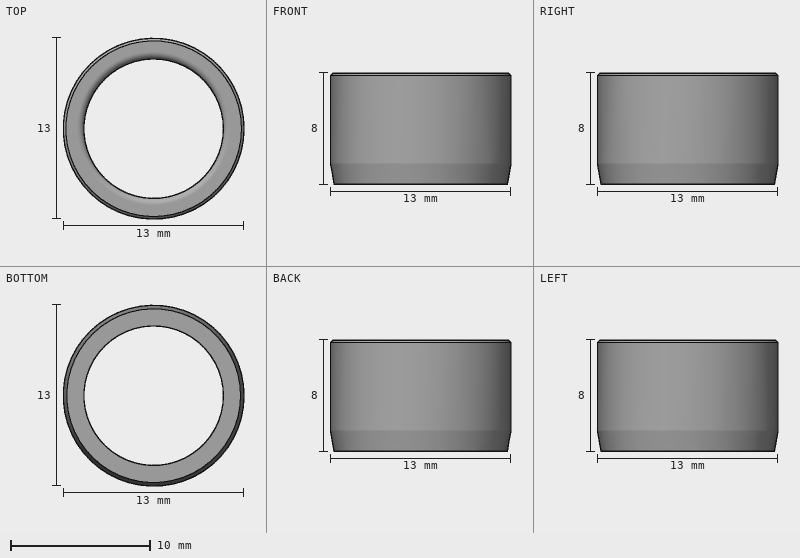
import cadquery as cq
import math

outer_diameter = 13.0
bore_diameter = 10.0
height = 8.0
bore_rounding = 0.5
rim_chamfer = 0.2
lead_in_height = 1.5
lead_in_angle = 10.0

outer_radius = outer_diameter / 2
bore_radius = bore_diameter / 2
lead_in_inset = lead_in_height * math.tan(math.radians(lead_in_angle))
rounding_inset = bore_rounding * (1 - math.sqrt(0.5))

wall_section = (
    cq.Workplane("XZ")
    .moveTo(bore_radius, 0)
    .lineTo(outer_radius - lead_in_inset, 0)
    .lineTo(outer_radius, lead_in_height)
    .lineTo(outer_radius, height - rim_chamfer)
    .lineTo(outer_radius - rim_chamfer, height)
    .lineTo(bore_radius + bore_rounding, height)
    .threePointArc(
        (bore_radius + rounding_inset, height - rounding_inset),
        (bore_radius, height - bore_rounding),
    )
    .close()
)

result = wall_section.revolve(360, (0, 0, 0), (0, 1, 0))